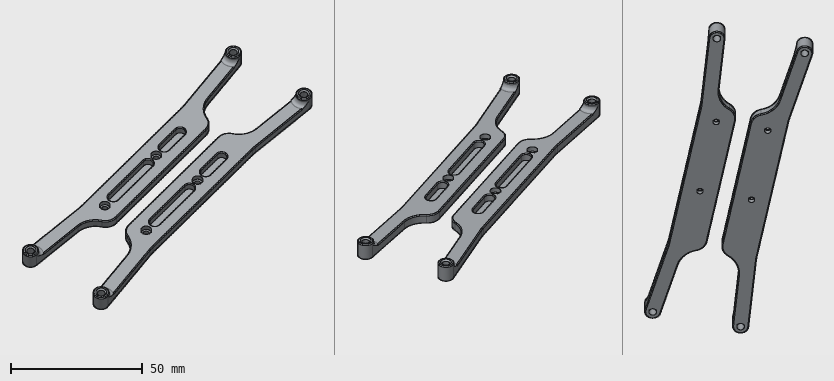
import math

import cadquery as cq

half_length = 65.5
half_width = 20.0
boss_height = 7.0
plate_thickness = 3.9
edge_chamfer = 0.4

boss_diameter = 6.2
boss_radius = boss_diameter / 2
boss_x = half_width - boss_radius
boss_y = half_length - boss_radius
boss_hole_diameter = 2.9
boss_countersink_diameter = 4.0
collar_radius = 2.0

inner_x = 2.9
outer_x = 17.0
mid_x = (inner_x + outer_x) / 2
bend_y = 31.5
bend_radius = 19.6
shoulder_y = 27.6
shoulder_radius = 5.2
neck_radius = 9.2

hole_diameter = 2.4
counterbore_diameter = 4.0
counterbore_depth = 2.0
upper_hole_y = 5.9
lower_hole_y = -25.7
pocket_width = 4.0
pocket_depth = 3.0
upper_pocket_ends = (8.9, 22.6)
lower_pocket_ends = (-22.4, 2.9)


def flat(point):
    """The X and Y of a point."""
    return (point.x, point.y)


def half_outline():
    """Outline of the +Y half of the +X rail, closed along Y = 0, on the XY plane."""
    run_x = boss_x - outer_x
    run_y = boss_y - bend_y
    arm_angle = math.atan2(run_y, run_x) - math.asin(boss_radius / math.hypot(run_x, run_y))
    along = cq.Vector(math.cos(arm_angle), math.sin(arm_angle))
    outward = cq.Vector(along.y, -along.x)
    boss_center = cq.Vector(boss_x, boss_y)

    bend_turn = math.pi / 2 - arm_angle
    bend_reach = bend_radius * math.tan(bend_turn / 2)
    bend_corner = cq.Vector(outer_x, bend_y)
    bend_center = cq.Vector(outer_x + bend_radius, bend_y - bend_reach)
    bend_start = cq.Vector(outer_x, bend_y - bend_reach)
    bend_middle = bend_center + (bend_corner - bend_center).normalized() * bend_radius
    bend_end = bend_corner + along * bend_reach

    shoulder_center = cq.Vector(inner_x + shoulder_radius, shoulder_y)
    neck_offset = boss_radius + neck_radius
    from_boss = shoulder_center - boss_center
    across = from_boss.dot(outward) + neck_offset
    climb = math.sqrt((shoulder_radius + neck_radius) ** 2 - across**2)
    neck_center = boss_center - outward * neck_offset + along * (from_boss.dot(along) + climb)
    neck_start = neck_center + outward * neck_radius
    to_neck = (neck_center - shoulder_center).normalized()
    neck_end = shoulder_center + to_neck * shoulder_radius
    neck_middle = neck_center + (outward - to_neck).normalized() * neck_radius
    shoulder_middle = shoulder_center + (to_neck - cq.Vector(1, 0)).normalized() * shoulder_radius

    boss_outer = boss_center + outward * boss_radius
    boss_tip = boss_center + along * boss_radius
    boss_inner = boss_center - outward * boss_radius

    return (
        cq.Workplane("XY")
        .moveTo(outer_x, 0)
        .lineTo(*flat(bend_start))
        .threePointArc(flat(bend_middle), flat(bend_end))
        .lineTo(*flat(boss_outer))
        .threePointArc(flat(boss_tip), flat(boss_inner))
        .lineTo(*flat(neck_start))
        .threePointArc(flat(neck_middle), flat(neck_end))
        .threePointArc(flat(shoulder_middle), (inner_x, shoulder_y))
        .lineTo(inner_x, 0)
        .close()
    )


def make_plate():
    """Flat rail, symmetric about the XZ plane, with chamfered rims."""
    half = half_outline().extrude(plate_thickness)
    plate = half.union(half.mirror("XZ")).clean()
    return plate.faces("<Z or >Z").chamfer(edge_chamfer)


def make_boss():
    """Round boss with the concave collar that blends it into the arm, at the +Y end."""
    post = cq.Workplane("XY").center(boss_x, boss_y).circle(boss_radius).extrude(boss_height)
    post = post.faces("<Z or >Z").chamfer(edge_chamfer)

    collar_outer = boss_radius + collar_radius
    arc_drop = collar_radius * (1 - math.sqrt(0.5))
    collar = (
        cq.Workplane("XZ")
        .moveTo(0, edge_chamfer)
        .lineTo(collar_outer, edge_chamfer)
        .lineTo(collar_outer, plate_thickness)
        .threePointArc(
            (boss_radius + arc_drop, plate_thickness + arc_drop),
            (boss_radius, plate_thickness + collar_radius),
        )
        .lineTo(0, plate_thickness + collar_radius)
        .close()
        .revolve(360, (0, 0, 0), (0, 1, 0))
        .translate((boss_x, boss_y, 0))
    )
    collar = collar.intersect(half_outline().extrude(boss_height))
    return post.union(collar)


def boss_hole(y):
    """Through hole with a countersunk mouth at the top of a boss."""
    countersink_depth = (boss_countersink_diameter - boss_hole_diameter) / 2
    drill = cq.Workplane("XY").center(boss_x, y).circle(boss_hole_diameter / 2).extrude(boss_height)
    cone = (
        cq.Workplane("XY", origin=(boss_x, y, boss_height))
        .circle(boss_countersink_diameter / 2)
        .workplane(offset=-countersink_depth)
        .circle(boss_hole_diameter / 2)
        .loft()
    )
    return drill.union(cone)


def counterbored_hole(y):
    """Through hole with a flat-bottomed counterbore in the plate's top."""
    drill = cq.Workplane("XY").center(mid_x, y).circle(hole_diameter / 2).extrude(plate_thickness)
    bore = (
        cq.Workplane("XY", origin=(mid_x, y, plate_thickness))
        .circle(counterbore_diameter / 2)
        .extrude(-counterbore_depth)
    )
    return drill.union(bore)


def pocket(ends):
    """Round-ended blind pocket between two Y positions, with a chamfered mouth."""
    length = ends[1] - ends[0]
    top = cq.Workplane("XY", origin=(mid_x, sum(ends) / 2, plate_thickness))
    body = top.slot2D(length, pocket_width, 90).extrude(-pocket_depth)
    mouth = (
        top.slot2D(length + 2 * edge_chamfer, pocket_width + 2 * edge_chamfer, 90)
        .extrude(-edge_chamfer, taper=45)
    )
    return body.union(mouth)


def make_rail():
    """The +X rail."""
    boss = make_boss()
    rail = make_plate().union(boss).union(boss.mirror("XZ"))
    for y in (boss_y, -boss_y):
        rail = rail.cut(boss_hole(y))
    for y in (upper_hole_y, lower_hole_y):
        rail = rail.cut(counterbored_hole(y))
    for ends in (upper_pocket_ends, lower_pocket_ends):
        rail = rail.cut(pocket(ends))
    return rail


right_rail = make_rail()
left_rail = right_rail.mirror("YZ")

result = cq.Compound.makeCompound([left_rail.val(), right_rail.val()])